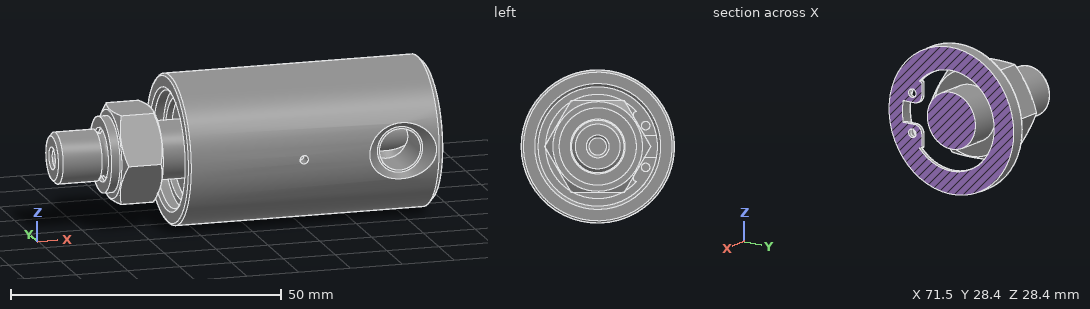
import cadquery as cq
import math

thread_end = 8.2
collar_start = 9.35
nut_start = 11.0
nut_end = 19.0
body_start = 22.2
body_end = 71.5

thread_radius = 9.7 / 2
relief_radius = 7.9 / 2
thread_chamfer = 0.7
thread_runout = 0.5
relief_floor_x = 9.4
collar_radius = 14.3 / 2
collar_recess_radius = 10.15 / 2
shaft_radius = 11.0 / 2
bore_radius = 3.2 / 2
bore_chamfer = 0.5
bore_depth = nut_end

nut_across_flats = 17.0
nut_face_radius = 8.3
nut_chamfer_angle = 30.0

body_radius = 28.4 / 2
front_chamfer = 0.4
rear_chamfer = 1.0

recess_radius = 22.1 / 2
recess_mouth_radius = 23.3 / 2
recess_chamfer = recess_mouth_radius - recess_radius

ring_setback = 2.4
ring_thickness = 1.2
ring_inner_radius = 9.65
ring_gap = 4.1
lug_inner_y = -6.65
lug_end_z = 6.4
lug_gap_fillet = 1.7
lug_end_fillet = 0.35
lug_hole_diameter = 1.6
lug_hole_y = -8.85
lug_hole_z = 3.85
ring_start = body_start + ring_setback
recess_floor = ring_start + ring_thickness

port_x = 63.55
port_mouth_radius = 6.4
port_seat_radius = 8.7 / 2
port_radius = 7.9 / 2
port_core_radius = 7.6 / 2
port_drill_depth = 10.8
drill_point_angle = 118.0
weep_x = 44.45
weep_diameter = 1.6
weep_depth = 2.85


def revolve_about_x(points):
    """Solid of revolution about X from (x, radius) points."""
    return cq.Workplane("XY").polyline(points).close().revolve(360, (0, 0, 0), (1, 0, 0))


def cylinder_along_x(radius, start, end):
    return cq.Workplane("YZ", origin=(start, 0, 0)).circle(radius).extrude(end - start)


def make_stem():
    """Threaded end, relief, collar and shaft as one turned piece."""
    runout_x = thread_end + thread_runout
    runout_radius = thread_radius - thread_runout
    recess_bottom = 2 * relief_floor_x - runout_x
    profile = (
        cq.Workplane("XY")
        .lineTo(0, thread_radius - thread_chamfer)
        .lineTo(thread_chamfer, thread_radius)
        .lineTo(thread_end, thread_radius)
        .lineTo(runout_x, runout_radius)
        .threePointArc((relief_floor_x, relief_radius), (recess_bottom, runout_radius))
        .lineTo(recess_bottom, collar_recess_radius)
        .lineTo(collar_start, collar_recess_radius)
        .lineTo(collar_start, collar_radius)
        .lineTo(nut_start, collar_radius)
        .lineTo(nut_start, shaft_radius)
        .lineTo(recess_floor, shaft_radius)
        .lineTo(recess_floor, 0)
        .close()
    )
    return profile.revolve(360, (0, 0, 0), (1, 0, 0))


def make_bore():
    return revolve_about_x([
        (0, 0),
        (0, bore_radius + bore_chamfer),
        (bore_chamfer, bore_radius),
        (bore_depth, bore_radius),
        (bore_depth, 0),
    ])


def make_nut():
    """Hexagon with corners on the Y axis, both ends turned to a shallow cone."""
    corner_radius = nut_across_flats / math.sqrt(3)
    cone_length = (corner_radius - nut_face_radius) * math.tan(math.radians(nut_chamfer_angle))
    hexagon = (
        cq.Workplane("YZ", origin=(nut_start, 0, 0))
        .polygon(6, 2 * corner_radius)
        .extrude(nut_end - nut_start)
    )
    envelope = revolve_about_x([
        (nut_start, 0),
        (nut_start, nut_face_radius),
        (nut_start + cone_length, corner_radius),
        (nut_end - cone_length, corner_radius),
        (nut_end, nut_face_radius),
        (nut_end, 0),
    ])
    return hexagon.intersect(envelope)


def make_body():
    """Chamfered cylinder with a countersunk round recess in its front face."""
    return revolve_about_x([
        (recess_floor, 0),
        (recess_floor, recess_radius),
        (body_start + recess_chamfer, recess_radius),
        (body_start, recess_mouth_radius),
        (body_start, body_radius - front_chamfer),
        (body_start + front_chamfer, body_radius),
        (body_end - rear_chamfer, body_radius),
        (body_end, body_radius - rear_chamfer),
        (body_end, 0),
    ])


def make_lug(side):
    """Drilled lug of the retaining ring; side is +1 above the gap, -1 below it."""
    length = lug_end_z - ring_gap / 2
    width = recess_radius + lug_inner_y
    block = (
        cq.Workplane("XY")
        .box(ring_thickness, width, length, centered=False)
        .edges("|X and >Y and <Z")
        .fillet(lug_gap_fillet)
        .edges("|X and >Y and >Z")
        .fillet(lug_end_fillet)
        .translate((ring_start, -recess_radius, ring_gap / 2))
    )
    hole = (
        cq.Workplane("YZ", origin=(ring_start, lug_hole_y, lug_hole_z))
        .circle(lug_hole_diameter / 2)
        .extrude(ring_thickness)
    )
    lug = block.intersect(cylinder_along_x(recess_radius, ring_start, recess_floor)).cut(hole)
    return lug if side > 0 else lug.mirror("XY")


def make_retaining_ring():
    """Open ring with two drilled lugs beside a gap on the -Y side."""
    opening = (
        cq.Workplane("XY")
        .box(ring_thickness, recess_radius, 2 * lug_end_z, centered=(False, False, True))
        .translate((ring_start, -recess_radius, 0))
    )
    ring = (
        cylinder_along_x(recess_radius, ring_start, recess_floor)
        .cut(cylinder_along_x(ring_inner_radius, ring_start, recess_floor))
        .cut(opening)
    )
    for side in (1, -1):
        ring = ring.union(make_lug(side))
    return ring


def make_port():
    """Countersunk drilled port that stops on the round core inside the body."""
    seat_y = -body_radius + port_mouth_radius - port_seat_radius
    drill_y = -body_radius + port_drill_depth
    tip_y = drill_y + port_radius / math.tan(math.radians(drill_point_angle / 2))
    drill = (
        cq.Workplane("XY")
        .polyline([
            (port_x, -body_radius),
            (port_x + port_mouth_radius, -body_radius),
            (port_x + port_seat_radius, seat_y),
            (port_x + port_radius, seat_y),
            (port_x + port_radius, drill_y),
            (port_x, tip_y),
        ])
        .close()
        .revolve(360, (port_x, 0, 0), (port_x, 1, 0))
    )
    return drill.cut(cylinder_along_x(port_core_radius, recess_floor, body_end))


def make_weep_hole():
    return (
        cq.Workplane("XZ", origin=(weep_x, -body_radius, 0))
        .circle(weep_diameter / 2)
        .extrude(-weep_depth)
    )


result = (
    make_body()
    .union(make_stem())
    .union(make_nut())
    .union(make_retaining_ring())
    .cut(make_bore())
    .cut(make_port())
    .cut(make_weep_hole())
)